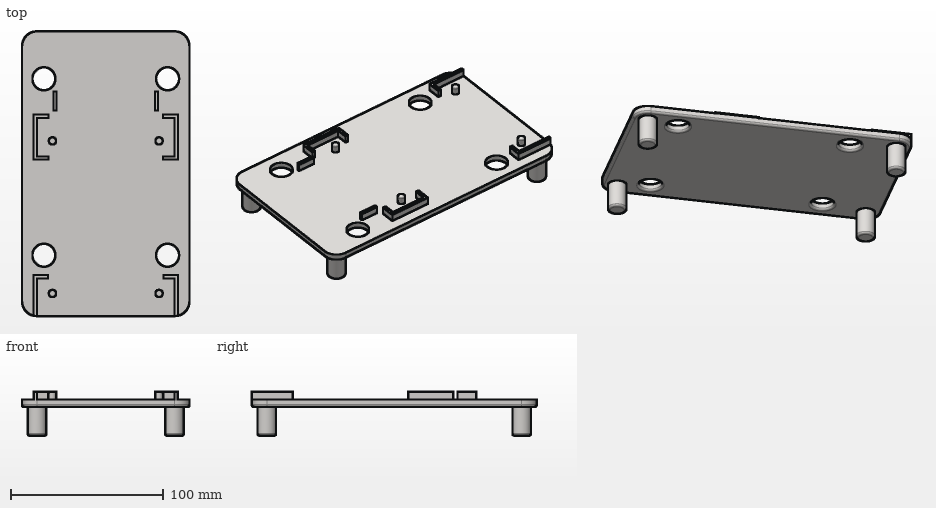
import cadquery as cq

plate_width = 110.0
plate_length = 187.1
plate_thickness = 5.0
corner_radius = 10.0
bottom_edge_fillet = 1.5

total_height = 29.0
foot_diameter = 12.3
foot_fillet = 1.5

hole_diameter = 15
hole_x = 40.6
hole_rows_y = (62.3, -53.5)

pin_diameter = 4.9
pin_fillet = 0.5
pin_x = 35.0
rear_pin_y = 21.5
pin_row_pitch = 100.1

wall_height = 5.0
wall_thickness = 2.0
wall_outer_x = 47.3
rear_hook_length = 10.0
rear_bracket_back_y = 38.7
rear_bracket_length = 29.5
front_hook_length = 9.4
front_bracket_back_y = -66.6
stop_outer_x = 34.5
stop_back_y = 53.9
stop_length = 12.5

foot_height = total_height - plate_thickness - wall_height
foot_x = plate_width / 2 - corner_radius
foot_y = plate_length / 2 - corner_radius
plate_front_y = -plate_length / 2
top = cq.Workplane("XY").workplane(offset=plate_thickness)


def wall(outer_x, back_y, length_x, length_y):
    """Right-hand wall block reaching inward from outer_x and forward from back_y."""
    return (
        top.moveTo(outer_x, back_y)
        .rect(-length_x, -length_y, centered=False)
        .extrude(wall_height)
    )


def add_mirrored(body, feature):
    """Add a right-hand feature and its mirror image on the left."""
    return body.union(feature).union(feature.mirror("YZ"))


def rounded_block(height):
    """Block with the plate's rounded outline, standing on Z = 0."""
    return (
        cq.Workplane("XY")
        .rect(plate_width, plate_length)
        .extrude(height)
        .edges("|Z")
        .fillet(corner_radius)
    )


plate = rounded_block(plate_thickness)

hole_points = [(side * hole_x, y) for side in (-1, 1) for y in hole_rows_y]
holes = cq.Workplane("XY").pushPoints(hole_points).circle(hole_diameter / 2).extrude(plate_thickness)
result = plate.cut(holes)

result = result.faces("<Z").edges().fillet(bottom_edge_fillet)

feet = (
    cq.Workplane("XY")
    .rect(2 * foot_x, 2 * foot_y, forConstruction=True)
    .vertices()
    .circle(foot_diameter / 2)
    .extrude(-foot_height)
    .faces("<Z")
    .edges()
    .fillet(foot_fillet)
)
result = result.union(feet)

for pin_y in (rear_pin_y, rear_pin_y - pin_row_pitch):
    pin = (
        top.center(pin_x, pin_y)
        .circle(pin_diameter / 2)
        .extrude(wall_height)
        .faces(">Z")
        .edges()
        .fillet(pin_fillet)
    )
    result = add_mirrored(result, pin)

rear_front_hook_y = rear_bracket_back_y - rear_bracket_length + wall_thickness
rear_bracket = (
    wall(wall_outer_x, rear_bracket_back_y, wall_thickness, rear_bracket_length)
    .union(wall(wall_outer_x, rear_bracket_back_y, rear_hook_length, wall_thickness))
    .union(wall(wall_outer_x, rear_front_hook_y, rear_hook_length, wall_thickness))
)
result = add_mirrored(result, rear_bracket)

front_bracket_length = front_bracket_back_y - plate_front_y
front_bracket = wall(
    wall_outer_x, front_bracket_back_y, wall_thickness, front_bracket_length
).union(wall(wall_outer_x, front_bracket_back_y, front_hook_length, wall_thickness))
front_bracket = front_bracket.intersect(rounded_block(plate_thickness + wall_height))
result = add_mirrored(result, front_bracket)

stop = wall(stop_outer_x, stop_back_y, wall_thickness, stop_length)
result = add_mirrored(result, stop)